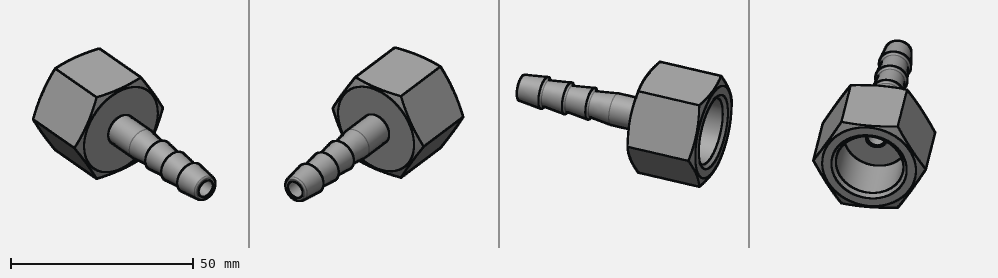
import cadquery as cq
import math

total_length = 57.0
nut_length = 20.0
barb_count = 4
barb_pitch = 6.95

across_flats = 27.0
across_corners = across_flats / math.cos(math.radians(30))
face_radius = 13.0
corner_chamfer_angle = 20.0
envelope_clearance = 0.55
bore_radius = 9.35
bore_mouth_radius = 10.45
bore_mouth_depth = bore_mouth_radius - bore_radius
nut_floor = 3.0

stem_radius = 4.5
barb_neck_radius = 3.65
barb_fillet = 0.5
flange_radius = 9.0
flange_thickness = 3.0
passage_radius = 2.5
passage_chamfer = 0.35

floor_x = nut_length - nut_floor
flange_x = floor_x - flange_thickness
barbs_x = total_length - barb_count * barb_pitch


def revolved(outline):
    """Turn a closed (x, radius) outline around the X axis."""
    return outline.close().revolve(360, (0, 0, 0), (1, 0, 0))


def rod(start_x, length, radius):
    """Cylinder on the X axis."""
    return cq.Workplane("YZ", origin=(start_x, 0, 0)).circle(radius).extrude(length)


def chamfer_envelope():
    """Turned blank whose conical ends cut the corners of the hexagon."""
    rim_radius = across_corners / 2 + envelope_clearance
    setback = (rim_radius - face_radius) * math.tan(math.radians(corner_chamfer_angle))
    return revolved(
        cq.Workplane("XZ")
        .moveTo(0, 0)
        .lineTo(0, face_radius)
        .lineTo(setback, rim_radius)
        .lineTo(nut_length - setback, rim_radius)
        .lineTo(nut_length, face_radius)
        .lineTo(nut_length, 0)
    )


def make_nut():
    hexagon = cq.Workplane("YZ").polygon(6, across_corners).extrude(nut_length)
    bore = revolved(
        cq.Workplane("XZ")
        .moveTo(0, 0)
        .lineTo(0, bore_mouth_radius)
        .lineTo(bore_mouth_depth, bore_radius)
        .lineTo(floor_x, bore_radius)
        .lineTo(floor_x, 0)
    )
    stem_hole = rod(floor_x, nut_floor, stem_radius)
    return hexagon.intersect(chamfer_envelope()).cut(bore).cut(stem_hole)


def make_stem():
    """Hose stem whose flange rests on the floor of the nut."""
    profile = (
        cq.Workplane("XZ")
        .moveTo(flange_x, 0)
        .lineTo(flange_x, flange_radius)
        .lineTo(floor_x, flange_radius)
        .lineTo(floor_x, stem_radius)
    )
    for index in range(barb_count):
        crest_x = barbs_x + index * barb_pitch
        profile = profile.lineTo(crest_x, stem_radius).lineTo(crest_x + barb_pitch, barb_neck_radius)
    stem = revolved(profile.lineTo(total_length, 0))

    neck_edges = [
        edge for edge in stem.edges("%CIRCLE").vals()
        if math.isclose(edge.radius(), barb_neck_radius, abs_tol=0.0005)
    ]
    stem = stem.newObject(neck_edges).fillet(barb_fillet)

    stem = stem.cut(rod(flange_x, total_length - flange_x, passage_radius))
    passage_mouth = stem.faces("<X").edges(cq.selectors.RadiusNthSelector(0))
    return passage_mouth.chamfer(passage_chamfer)


nut = make_nut()
stem = make_stem()

result = cq.Compound.makeCompound([nut.val(), stem.val()])